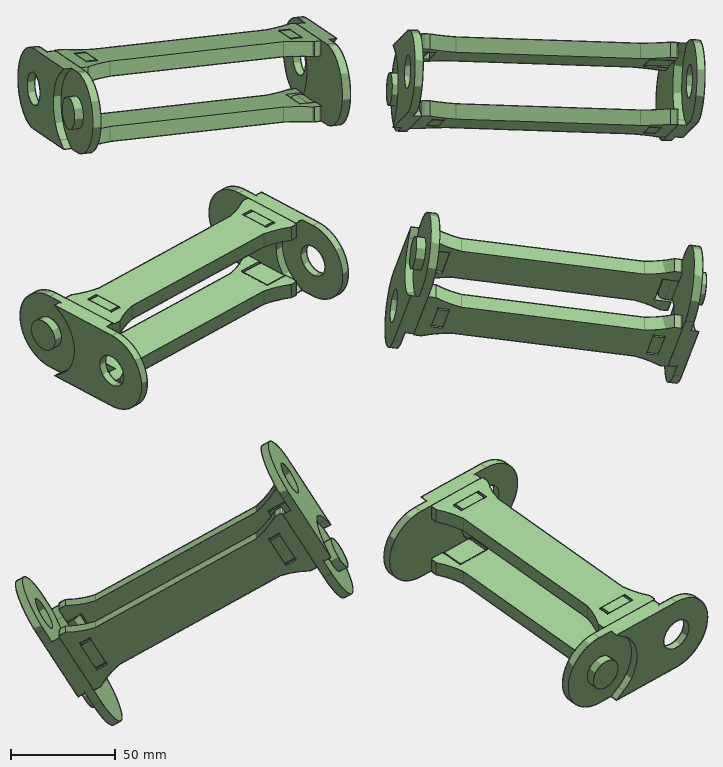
import cadquery as cq
import math

overall_length = 141.8
link_height = 40.0
link_length = 85.5

end_radius = link_height / 2
hinge_offset = link_length / 2 - end_radius
pin_protrusion = 0.5
outer_layer = 4.0
inner_layer = 4.3
clearance_radius = 20.4
tip_setback = 7.2
hole_diameter = 16.0
pin_diameter = 15.7

pin_end_y = overall_length / 2
outer_face_y = pin_end_y - pin_protrusion
step_y = outer_face_y - outer_layer
inner_face_y = step_y - inner_layer

bar_thickness = 7.5
bar_end_half_width = 16.5
bar_middle_half_width = 11.2
flare_start = 3.8
flare_end = 17.5
flare_radius = 44.8
bar_corner_radius = 0.9

foot_width = 16.0
foot_length = 6.7
nose_width = 13.6
tongue_reach = 12.3
foot_recess = 0.5
window_depth = 2.1
mouth_length = 8.2
mouth_width = 17.7

bar_inner_z = end_radius - bar_thickness
foot_z = bar_inner_z + foot_recess
bar_middle_z = end_radius - bar_thickness / 2
window_floor_z = end_radius - window_depth


def layer_outline(plane_y):
    """Plate layer with a round end at -X and a clearance cut-away around the hinge at +X."""
    tip_x = hinge_offset - tip_setback
    tip_distance = math.hypot(tip_setback, end_radius)
    tangent_angle = math.atan2(end_radius, tip_setback) - math.acos(clearance_radius / tip_distance)
    tangent_x = hinge_offset - clearance_radius * math.cos(tangent_angle)
    tangent_z = clearance_radius * math.sin(tangent_angle)
    return (
        cq.Workplane("XZ", origin=(0, plane_y, 0))
        .moveTo(tip_x, end_radius)
        .lineTo(-hinge_offset, end_radius)
        .threePointArc((-hinge_offset - end_radius, 0), (-hinge_offset, -end_radius))
        .lineTo(tip_x, -end_radius)
        .lineTo(tangent_x, -tangent_z)
        .threePointArc((hinge_offset - clearance_radius, 0), (tangent_x, tangent_z))
        .close()
    )


def box_between(width, y_range, z_range):
    """Box centred on X = 0."""
    return (
        cq.Workplane("YZ", origin=(-width / 2, 0, 0))
        .moveTo(y_range[0], z_range[0])
        .lineTo(y_range[1], z_range[0])
        .lineTo(y_range[1], z_range[1])
        .lineTo(y_range[0], z_range[1])
        .close()
        .extrude(width)
    )


def rounded_foot():
    """Part of an upper tongue that lies inside the bar: a rounded root and a thinner toe under the nose."""
    root_end_y = foot_length - inner_face_y
    toe_end_y = tongue_reach - inner_face_y
    root = box_between(foot_width, (-inner_face_y, root_end_y), (foot_z, window_floor_z))
    root = root.edges("|X and >Y and <Z").fillet(bar_middle_z - foot_z)
    toe = box_between(foot_width, (root_end_y, toe_end_y), (bar_middle_z, window_floor_z))
    return root.union(toe)


def square_foot():
    """Part of an upper tongue that lies inside the bar: a plain block as long as the tongue."""
    return box_between(foot_width, (-inner_face_y, tongue_reach - inner_face_y), (foot_z, window_floor_z))


def tongue_nose(width):
    """Block on the foot of the upper tongue, flush with the outer face of the bar."""
    return box_between(
        width,
        (foot_length - inner_face_y, tongue_reach - inner_face_y),
        (window_floor_z, end_radius),
    )


def make_link(foot):
    """Link plate at the -Y end, with its pin and two tongues on the given kind of foot."""
    outer_plate = layer_outline(-step_y).extrude(outer_layer)
    inner_plate = layer_outline(-inner_face_y).extrude(inner_layer).mirror("YZ")
    hole = (
        cq.Workplane("XZ", origin=(-hinge_offset, -step_y, 0))
        .circle(hole_diameter / 2)
        .extrude(outer_layer)
    )
    pin = (
        cq.Workplane("XZ", origin=(hinge_offset, -step_y, 0))
        .circle(pin_diameter / 2)
        .extrude(outer_layer + pin_protrusion)
    )
    tongue = foot.union(tongue_nose(nose_width))
    return (
        outer_plate.cut(hole)
        .union(inner_plate)
        .union(pin)
        .union(tongue)
        .union(tongue.mirror("XY"))
    )


def socket(foot, opening_length):
    """Space for an upper tongue: its foot, a mouth on the inner face of the bar and a window on the outer."""
    mouth = box_between(
        mouth_width,
        (-inner_face_y, opening_length - inner_face_y),
        (bar_inner_z, bar_middle_z),
    )
    window = tongue_nose(foot_width)
    return mouth.union(foot).union(window)


def make_bar():
    """Upper cross bar with flared ends and a socket for a tongue at each end."""
    flare_y = inner_face_y - flare_start
    middle_y = inner_face_y - flare_end
    quarter = (
        cq.Workplane("XY", origin=(0, 0, bar_inner_z))
        .lineTo(bar_middle_half_width, 0)
        .lineTo(bar_middle_half_width, middle_y)
        .radiusArc((bar_end_half_width, flare_y), flare_radius)
        .lineTo(bar_end_half_width, inner_face_y)
        .lineTo(0, inner_face_y)
        .close()
        .extrude(bar_thickness)
        .edges("|Z and >X and >Y")
        .fillet(bar_corner_radius)
    )
    half = quarter.union(quarter.mirror("YZ"))
    blank = half.union(half.mirror("XZ"))

    front_socket = socket(square_foot(), tongue_reach)
    back_socket = socket(rounded_foot(), mouth_length).mirror("XZ")
    return blank.cut(front_socket).cut(back_socket)


front_link = make_link(square_foot())
back_link = make_link(rounded_foot()).mirror("XZ")
upper_bar = make_bar()
lower_bar = upper_bar.mirror("XY")

result = cq.Compound.makeCompound([front_link.val(), back_link.val(), upper_bar.val(), lower_bar.val()])